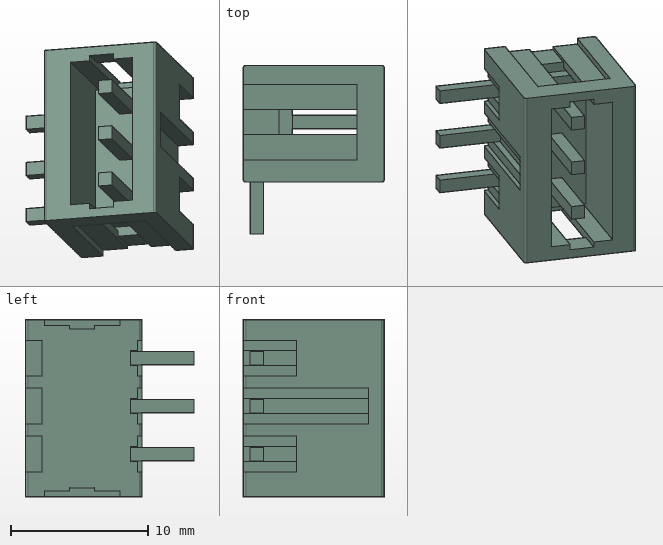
import cadquery as cq

LENGTH = 10.3
WIDTH = 8.5
HEIGHT = 12.9
CORNER_RADIUS = 0.19

MATING_CENTER_Y = 4.37
PIN_PITCH = 3.5
MIDDLE_PIN_Z = 6.6
PIN_ROWS = (-1, 0, 1)

GROOVE_LENGTH = 8.28
GROOVE_WIDTH = 5.5
GROOVE_DEPTH = 0.44
KEYWAY_WIDTH = 1.79
KEYWAY_DEPTH = 0.66

CAVITY_WIDTH = 4.67
CAVITY_ROOF = 1.06
CAVITY_START = 2.6
STEP_LENGTH = 0.98
STEP_DEPTH = 1.35

POCKET_HEIGHT = 2.6
SHORT_POCKET_LENGTH = 3.9
LONG_POCKET_LENGTH = 9.15
FRONT_POCKET_DEPTH = 0.34
REAR_POCKET_DEPTH = 1.21
CHANNEL_HEIGHT = 1.1
CHANNEL_DEPTH = 0.83

PIN_SIZE = 0.99
PIN_BACK_X = 0.5
PIN_TIP_X = 9.29
LEG_PROJECTION = 3.79


def block(x_range, y_range, z_range):
    """Box spanning three (low, high) ranges."""
    sizes = [high - low for low, high in (x_range, y_range, z_range)]
    corner = (x_range[0], y_range[0], z_range[0])
    return cq.Workplane("XY").box(*sizes, centered=False).translate(corner)


def around(center, size):
    """Range of the given size centred on a coordinate."""
    return (center - size / 2, center + size / 2)


def inset_height(inset):
    """Z range that stays one inset away from both the top and the underside."""
    return (inset, HEIGHT - inset)


def housing_blank():
    blank = block((0, LENGTH), (0, WIDTH), (0, HEIGHT))
    return blank.edges("|Z").fillet(CORNER_RADIUS)


def groove_pair(width, depth):
    """Matching grooves in the top and bottom faces, open at the back face."""
    x_range = (0, GROOVE_LENGTH)
    y_range = around(MATING_CENTER_Y, width)
    lower = block(x_range, y_range, (0, depth))
    upper = block(x_range, y_range, (HEIGHT - depth, HEIGHT))
    return lower.union(upper)


def stepped_grooves():
    """Wide shallow grooves with a narrower, deeper groove along their middle."""
    wide = groove_pair(GROOVE_WIDTH, GROOVE_DEPTH)
    return wide.union(groove_pair(KEYWAY_WIDTH, KEYWAY_DEPTH))


def mating_cavity():
    """Cavity with its keyways, less the raised step left at its inner end."""
    x_range = (CAVITY_START, LENGTH)
    y_range = around(MATING_CENTER_Y, CAVITY_WIDTH)
    cavity = block(x_range, y_range, inset_height(CAVITY_ROOF))
    keyways = block(x_range, around(MATING_CENTER_Y, KEYWAY_WIDTH), inset_height(KEYWAY_DEPTH))
    step = block((CAVITY_START, CAVITY_START + STEP_LENGTH), y_range, inset_height(STEP_DEPTH))
    return cavity.union(keyways).cut(step)


def side_pockets(row):
    """Pocket with a pin channel at Y = 0 and a deeper plain pocket on the opposite side."""
    center_z = MIDDLE_PIN_Z + row * PIN_PITCH
    x_range = (0, LONG_POCKET_LENGTH if row == 0 else SHORT_POCKET_LENGTH)
    z_range = around(center_z, POCKET_HEIGHT)
    front = block(x_range, (0, FRONT_POCKET_DEPTH), z_range)
    channel = block(x_range, (0, CHANNEL_DEPTH), around(center_z, CHANNEL_HEIGHT))
    rear = block(x_range, (WIDTH - REAR_POCKET_DEPTH, WIDTH), z_range)
    return front.union(channel).union(rear)


def pin(row):
    """Contact along X in the cavity, bent into a leg that leaves toward -Y."""
    z_range = around(MIDDLE_PIN_Z + row * PIN_PITCH, PIN_SIZE)
    contact_y = around(MATING_CENTER_Y, PIN_SIZE)
    contact = block((PIN_BACK_X, PIN_TIP_X), contact_y, z_range)
    leg = block((PIN_BACK_X, PIN_BACK_X + PIN_SIZE), (-LEG_PROJECTION, contact_y[1]), z_range)
    return contact.union(leg)


result = housing_blank().cut(stepped_grooves()).cut(mating_cavity())
for row in PIN_ROWS:
    result = result.cut(side_pockets(row))
for row in PIN_ROWS:
    result = result.union(pin(row))